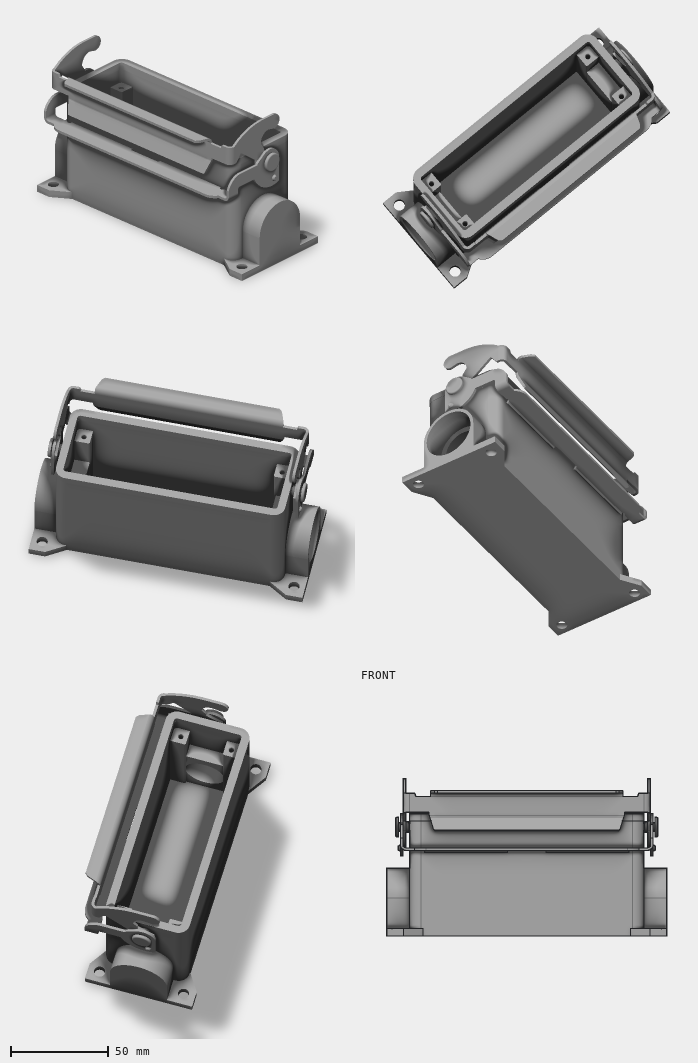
import cadquery as cq
import math

overall_length = 144.0
base_width = 57.3
base_thickness = 3.9
wall_length = 120.2
wall_width = 44.4
wall_corner_radius = 5.8
housing_height = 63.0
cavity_length = 112.9
cavity_width = 36.3
cavity_corner_radius = 2.0
rim_bottom = 59.0
rim_step = 0.1
rim_opening_corner_radius = 1.5
floor_thickness = base_thickness

ear_flat = 8.6
ear_foot_x = 53.3
ear_hole_x = 66.2
ear_hole_y = 22.5
ear_hole_diameter = 5.8

boss_radius = 15.3
boss_axis_z = 19.6
bore_radius = 13.5
passage_radius = 10.5
bore_depth = 13.5

post_length = 8.0
post_width = 8.2
post_height = 51.3
post_corner_radius = 0.9
screw_hole_x = 52.1
screw_hole_y = 13.5
screw_hole_radius = 1.3
screw_hole_depth = 14.4
screw_hole_chamfer = 0.3
pad_top = boss_axis_z + boss_radius
bored_pad_thickness = 6.9

sheet = 1.5
hook_plate_outer_x = 63.5
arm_plate_outer_x = hook_plate_outer_x + sheet
pivot_z = 56.0

cam_back_y = 5.8
cam_shoulder_z = 57.6
cam_bottom = 45.5
cam_front_y = -8.5
cam_front_top = 59.0
cam_front_bottom = 54.3
neck_back_y = -3.0
neck_bottom = 62.8
throat_y = -5.3
throat_bottom = 67.7
throat_top = 73.7
hook_top = 81.0
hook_tip_y = 8.8
hook_tip_center_y = 4.5
hook_tip_bottom = 72.7
crown_end_y = -25.3
crown_middle = (-15.8, 78.8)
throat_middle = (-4.3, 71.1)
throat_end = (0.1, throat_top)
barb_middle = (2.3, 73.3)
cam_middle = (-6.0, 48.1)
hook_root_y = -23.8
neck_rise = 1.6
gusset_y = -20.2
gusset_z = 67.8
gusset_flat = 0.6

arm_head_radius = 6.9
arm_start_y = -9.5
arm_top = 57.3
arm_underside = 50.0
arm_turn_y = -22.2
arm_turn_bottom = 50.4
arm_foot_y = -23.9
arm_foot_chamfer = 0.6
arm_belly_front_y = -11.7
arm_belly_back_z = 42.2
arm_belly_middle = (-3.5, 42.0)
arm_turn_middle = (-27.8, 55.2)
arm_shoulder_middle = (-1.7, 62.6)
arm_shoulder_end = (-3.7, 61.9)
arm_slope_end = (-9.0, 58.2)

pin_end_radius = 1.9
pin_shoulder_radius = 2.7
pin_shoulder_gap = 0.3
pin_neck_radius = 2.3
pin_head_radius = 5.0
pin_head_inner_x = 65.8
pin_head_outer_x = 67.4
pin_head_fillet = 0.7

stud_y = 3.2
stud_z = 45.2
stud_radius = 1.7
stud_tip_radius = 1.0
stud_length = 1.2

grip_face_y = -28.4
grip_back_y = grip_face_y + sheet
grip_bottom = 63.5
grip_top = 73.5
grip_bend_radius = 3.2
grip_notch_floor = 71.7
grip_notch_half = 56.9
grip_notch_slope = 0.7

top_lip_front_y = -35.9
top_lip_top = grip_top + sheet
top_lip_bend_y = -29.5
top_lip_back_half = 49.5
top_lip_front_half = 47.4
top_lip_corner = 1.5
top_lip_bend_front = (-28.8, 73.0)
top_lip_bend_back = (-27.8, 73.9)

skirt_bend_z = 61.2
skirt_bend_drop = 0.9
skirt_bend_run = 0.3
skirt_bend_middle = (-28.5, 61.5)
skirt_side_bottom = 62.4
skirt_tip_z = 54.5
skirt_tip_y = -31.4
skirt_tip_thickness_y = 1.3
skirt_tip_thickness_z = 0.6
skirt_top_half = 50.3
skirt_bottom_half = 48.0
skirt_corner = 1.0

rail_top = 45.4
rail_bottom = rail_top - sheet
rail_front_y = -34.4
rail_back_y = -24.0
rail_side_y = -31.0
rail_bend_radius = 3.0
rail_slot_y = -24.9
rail_slot_half = 9.8
rail_slot_chamfer = 0.6
rail_lip_end = 52.4
rail_lip_tip_y = -22.5
rail_lip_bottom = 42.9
rail_lip_run = 0.6
rail_lip_tip_rise = 0.7
rail_front_half = 51.8
rail_flare_half = 57.7
rail_flare_middle = (55.2, -33.4)
rail_relief_end = 55.2


def cylinder_x(radius, start_x, end_x, y, z):
    """Cylinder along X between two places."""
    return (
        cq.Workplane("YZ", origin=(start_x, 0, 0))
        .center(y, z)
        .circle(radius)
        .extrude(end_x - start_x)
    )


def rounded_block(length, width, corner_radius, bottom, top):
    """Upright block with rounded corners, centred on Z."""
    return (
        cq.Workplane("XY", origin=(0, 0, bottom))
        .rect(length, width)
        .extrude(top - bottom)
        .edges("|Z")
        .fillet(corner_radius)
    )


def base_plate():
    half_length = overall_length / 2
    half_width = base_width / 2
    wall_y = wall_width / 2
    ear_edge = half_length - ear_flat
    plate = (
        cq.Workplane("XY")
        .moveTo(0, wall_y)
        .lineTo(ear_foot_x, wall_y)
        .lineTo(ear_edge, half_width)
        .lineTo(half_length, half_width)
        .lineTo(half_length, 0)
        .lineTo(0, 0)
        .close()
        .extrude(base_thickness)
    )
    plate = plate.union(plate.mirror("XZ"))
    plate = plate.union(plate.mirror("YZ"))
    holes = (
        cq.Workplane("XY")
        .rect(2 * ear_hole_x, 2 * ear_hole_y, forConstruction=True)
        .vertices()
        .circle(ear_hole_diameter / 2)
        .extrude(base_thickness)
    )
    return plate.cut(holes)


def cable_bosses():
    """Round-topped block running the whole length; the walls hide its middle."""
    return (
        cq.Workplane("YZ")
        .moveTo(-boss_radius, 0)
        .lineTo(-boss_radius, boss_axis_z)
        .threePointArc((0, boss_axis_z + boss_radius), (boss_radius, boss_axis_z))
        .lineTo(boss_radius, 0)
        .close()
        .extrude(overall_length / 2, both=True)
    )


def corner_post(side_x, side_y):
    center_x = side_x * (cavity_length - post_length) / 2
    center_y = side_y * (cavity_width - post_width) / 2
    inner_edge = cq.selectors.NearestToPointSelector(
        (center_x - side_x * post_length / 2, center_y - side_y * post_width / 2, post_height / 2)
    )
    post = (
        cq.Workplane("XY")
        .box(post_length, post_width, post_height, centered=(True, True, False))
        .translate((center_x, center_y, 0))
        .edges(inner_edge)
        .fillet(post_corner_radius)
    )
    hole_x = side_x * screw_hole_x
    hole_y = side_y * screw_hole_y
    hole = (
        cq.Workplane("XY", origin=(hole_x, hole_y, post_height))
        .circle(screw_hole_radius)
        .extrude(-screw_hole_depth)
    )
    mouth = (
        cq.Workplane("XY", origin=(hole_x, hole_y, post_height - screw_hole_chamfer))
        .circle(screw_hole_radius)
        .workplane(offset=screw_hole_chamfer)
        .circle(screw_hole_radius + screw_hole_chamfer)
        .loft()
    )
    return post.cut(hole).cut(mouth)


def end_pad(side, thickness):
    center_x = side * (cavity_length - thickness) / 2
    return (
        cq.Workplane("XY")
        .box(thickness, cavity_width - 2 * post_width, pad_top, centered=(True, True, False))
        .translate((center_x, 0, 0))
    )


def make_housing():
    walls = rounded_block(wall_length, wall_width, wall_corner_radius, 0, rim_bottom)
    rim = rounded_block(
        wall_length + 2 * rim_step,
        wall_width + 2 * rim_step,
        wall_corner_radius + rim_step,
        rim_bottom,
        housing_height,
    )
    cavity = rounded_block(
        cavity_length, cavity_width, cavity_corner_radius, floor_thickness, rim_bottom
    )
    rim_opening = rounded_block(
        cavity_length - 2 * rim_step,
        cavity_width - 2 * rim_step,
        rim_opening_corner_radius,
        rim_bottom,
        housing_height,
    )
    body = base_plate().union(cable_bosses()).union(walls).union(rim)
    body = body.cut(cavity).cut(rim_opening)

    for side_x in (-1, 1):
        for side_y in (-1, 1):
            body = body.union(corner_post(side_x, side_y))
    body = body.union(end_pad(-1, bored_pad_thickness))
    body = body.union(end_pad(1, post_length))

    end_x = -overall_length / 2
    body = body.cut(cylinder_x(bore_radius, end_x, end_x + bore_depth, 0, boss_axis_z))
    passage_end = -cavity_length / 2 + bored_pad_thickness
    body = body.cut(cylinder_x(passage_radius, end_x, passage_end, 0, boss_axis_z))

    pin_holes = cylinder_x(pin_end_radius, -wall_length / 2, -cavity_length / 2, 0, pivot_z)
    return body.cut(pin_holes).cut(pin_holes.mirror("YZ"))


def hook_profile():
    """Side outline of a hook plate, from the cam end up to the hook and the grip strip."""
    return (
        cq.Workplane("YZ")
        .moveTo(cam_back_y, cam_shoulder_z)
        .lineTo(neck_back_y, neck_bottom)
        .lineTo(neck_back_y, neck_bottom + neck_rise)
        .lineTo(throat_y, throat_bottom)
        .threePointArc(throat_middle, throat_end)
        .threePointArc(barb_middle, (hook_tip_center_y, hook_tip_bottom))
        .threePointArc((hook_tip_y, (hook_top + hook_tip_bottom) / 2), (hook_tip_center_y, hook_top))
        .lineTo(throat_y, hook_top)
        .threePointArc(crown_middle, (crown_end_y, grip_top))
        .lineTo(grip_face_y, grip_top)
        .lineTo(grip_face_y, grip_bottom)
        .lineTo(hook_root_y, grip_bottom)
        .lineTo(gusset_y - gusset_flat / 2, gusset_z)
        .lineTo(gusset_y + gusset_flat / 2, gusset_z)
        .lineTo(cam_front_y, cam_front_top)
        .lineTo(cam_front_y, cam_front_bottom)
        .threePointArc(cam_middle, (0, cam_bottom))
        .lineTo(cam_back_y, cam_bottom)
        .close()
    )


def hook_plates_and_grip():
    """U-shaped strip seen from above, trimmed to the hook outline."""
    strip_length = 86.4
    outer_half = hook_plate_outer_x
    inner_half = outer_half - sheet
    strip_end = strip_length / 2 + grip_face_y
    outer = (
        cq.Workplane("XY")
        .rect(2 * outer_half, strip_length)
        .extrude(2 * grip_top)
        .edges("|Z")
        .fillet(grip_bend_radius)
        .translate((0, strip_end, 0))
    )
    inner = (
        cq.Workplane("XY")
        .rect(2 * inner_half, strip_length - 2 * sheet)
        .extrude(2 * grip_top)
        .edges("|Z")
        .fillet(grip_bend_radius - sheet)
        .translate((0, strip_end, 0))
    )
    outline = hook_profile().extrude(outer_half, both=True)
    strip = outer.cut(inner).intersect(outline)
    notch = (
        cq.Workplane("XZ", origin=(0, grip_back_y, 0))
        .moveTo(-grip_notch_half, grip_notch_floor)
        .lineTo(grip_notch_half, grip_notch_floor)
        .lineTo(grip_notch_half + grip_notch_slope, grip_top)
        .lineTo(-grip_notch_half - grip_notch_slope, grip_top)
        .close()
        .extrude(sheet)
    )
    return strip.cut(notch)


def top_lip():
    """Strip bent forward from the top of the grip."""
    lip = (
        cq.Workplane("YZ")
        .moveTo(grip_face_y, grip_notch_floor)
        .threePointArc(top_lip_bend_front, (top_lip_bend_y, grip_top))
        .lineTo(top_lip_front_y, grip_top)
        .lineTo(top_lip_front_y, top_lip_top)
        .lineTo(top_lip_bend_y, top_lip_top)
        .threePointArc(top_lip_bend_back, (grip_back_y, grip_notch_floor))
        .close()
        .extrude(top_lip_back_half, both=True)
    )
    outline = (
        cq.Workplane("XY", origin=(0, 0, grip_bottom))
        .moveTo(top_lip_back_half, grip_back_y)
        .lineTo(top_lip_back_half, grip_face_y)
        .lineTo(top_lip_front_half, top_lip_front_y + top_lip_corner)
        .lineTo(top_lip_front_half - top_lip_corner, top_lip_front_y)
        .lineTo(0, top_lip_front_y)
        .lineTo(0, grip_back_y)
        .close()
        .extrude(top_lip_top - grip_bottom)
    )
    return lip.intersect(outline.union(outline.mirror("YZ")))


def grip_skirt():
    """Strip sloping down and forward from the bottom of the grip."""
    skirt = (
        cq.Workplane("YZ")
        .moveTo(grip_back_y, grip_bottom)
        .lineTo(grip_face_y, grip_bottom)
        .lineTo(grip_face_y, skirt_bend_z + skirt_bend_drop)
        .threePointArc(skirt_bend_middle, (grip_face_y - skirt_bend_run, skirt_bend_z))
        .lineTo(skirt_tip_y, skirt_tip_z)
        .lineTo(skirt_tip_y + skirt_tip_thickness_y, skirt_tip_z - skirt_tip_thickness_z)
        .lineTo(grip_back_y, skirt_bend_z - skirt_bend_run)
        .close()
        .extrude(skirt_top_half, both=True)
    )
    bottom = skirt_tip_z - skirt_tip_thickness_z
    outline = (
        cq.Workplane("XZ")
        .moveTo(-skirt_top_half, grip_bottom)
        .lineTo(skirt_top_half, grip_bottom)
        .lineTo(skirt_top_half, skirt_side_bottom)
        .lineTo(skirt_bottom_half, bottom + skirt_corner)
        .lineTo(skirt_bottom_half - skirt_corner, bottom)
        .lineTo(-skirt_bottom_half + skirt_corner, bottom)
        .lineTo(-skirt_bottom_half, bottom + skirt_corner)
        .lineTo(-skirt_top_half, skirt_side_bottom)
        .close()
        .extrude(-skirt_tip_y + sheet)
    )
    return skirt.intersect(outline)


def arm_profile():
    """Side outline of an arm plate: round head at the pivot, curved arm down to the rail."""
    head_diagonal = arm_head_radius * math.sqrt(0.5)
    return (
        cq.Workplane("YZ")
        .moveTo(arm_head_radius, pivot_z)
        .threePointArc((head_diagonal, pivot_z + head_diagonal), (0, pivot_z + arm_head_radius))
        .threePointArc(arm_shoulder_middle, arm_shoulder_end)
        .lineTo(*arm_slope_end)
        .lineTo(arm_start_y, arm_top)
        .lineTo(arm_turn_y, arm_top)
        .threePointArc(arm_turn_middle, (rail_side_y, arm_turn_bottom))
        .lineTo(rail_side_y, rail_bottom)
        .lineTo(arm_foot_y, rail_bottom)
        .lineTo(arm_foot_y, arm_underside - arm_foot_chamfer)
        .lineTo(arm_foot_y + arm_foot_chamfer, arm_underside)
        .lineTo(arm_belly_front_y, arm_underside)
        .threePointArc(arm_belly_middle, (arm_head_radius, arm_belly_back_z))
        .close()
    )


def arms_and_bends():
    """Two arm plates, each curving into the level of the rail at its front end."""
    bend_center_x = arm_plate_outer_x - rail_bend_radius
    bend_z = rail_bottom + rail_bend_radius
    inner_radius = rail_bend_radius - sheet
    leg_width = arm_foot_y - rail_side_y
    bend_box = (
        cq.Workplane("XY")
        .box(rail_bend_radius, leg_width, rail_bend_radius, centered=False)
        .translate((bend_center_x, rail_side_y, rail_bottom))
    )
    bend_ring = (
        cq.Workplane("XZ", origin=(bend_center_x, arm_foot_y, bend_z))
        .circle(rail_bend_radius)
        .circle(inner_radius)
        .extrude(leg_width)
    )
    plate = arm_profile().extrude(sheet).translate((hook_plate_outer_x, 0, 0))
    arm = plate.cut(bend_box).union(bend_ring.intersect(bend_box))
    return arm.union(arm.mirror("YZ"))


def rail_half():
    """Right half of the flat rail, with its slot, relief notch and back lip."""
    end_x = arm_plate_outer_x - rail_bend_radius
    plate = (
        cq.Workplane("XY", origin=(0, 0, rail_bottom))
        .moveTo(0, rail_slot_y)
        .lineTo(rail_slot_half - rail_slot_chamfer, rail_slot_y)
        .lineTo(rail_slot_half, rail_slot_y + rail_slot_chamfer)
        .lineTo(rail_slot_half, rail_back_y)
        .lineTo(rail_lip_end, rail_back_y)
        .lineTo(rail_lip_end, rail_slot_y + rail_slot_chamfer)
        .lineTo(rail_lip_end + rail_slot_chamfer, rail_slot_y)
        .lineTo(rail_relief_end - 2 * rail_slot_chamfer, rail_slot_y)
        .lineTo(rail_relief_end, rail_back_y)
        .lineTo(end_x, rail_back_y)
        .lineTo(end_x, rail_side_y)
        .lineTo(rail_flare_half, rail_side_y)
        .threePointArc(rail_flare_middle, (rail_front_half, rail_front_y))
        .lineTo(0, rail_front_y)
        .close()
        .extrude(sheet)
    )
    lip = (
        cq.Workplane("YZ", origin=(rail_slot_half, 0, 0))
        .moveTo(rail_back_y, rail_top)
        .lineTo(rail_back_y + rail_lip_run, rail_top)
        .lineTo(rail_lip_tip_y, rail_lip_bottom + rail_lip_tip_rise)
        .lineTo(rail_back_y + rail_lip_run, rail_lip_bottom)
        .lineTo(rail_back_y, rail_bottom)
        .close()
        .extrude(rail_lip_end - rail_slot_half)
    )
    return plate.union(lip)


def pivot_pin():
    """Right pivot pin: end in the wall, shoulder, neck and rounded head."""
    wall_x = wall_length / 2
    shoulder_x = wall_x + rim_step + pin_shoulder_gap
    end = cylinder_x(pin_end_radius, cavity_length / 2, shoulder_x, 0, pivot_z)
    shoulder = cylinder_x(pin_shoulder_radius, shoulder_x, hook_plate_outer_x, 0, pivot_z)
    neck = cylinder_x(pin_neck_radius, hook_plate_outer_x, pin_head_outer_x, 0, pivot_z)
    head = cylinder_x(pin_head_radius, pin_head_inner_x, pin_head_outer_x, 0, pivot_z)
    head = head.faces(">X").edges().fillet(pin_head_fillet)
    return end.union(shoulder).union(neck).union(head)


def stop_stud():
    """Small tapered stud on the outside of the right arm plate."""
    return (
        cq.Workplane("YZ", origin=(arm_plate_outer_x, 0, 0))
        .center(stud_y, stud_z)
        .circle(stud_radius)
        .workplane(offset=stud_length)
        .circle(stud_tip_radius)
        .loft()
    )


def make_lever():
    lever = hook_plates_and_grip().union(top_lip()).union(grip_skirt()).union(arms_and_bends())
    for right_feature in (rail_half(), pivot_pin(), stop_stud()):
        lever = lever.union(right_feature).union(right_feature.mirror("YZ"))
    return lever


housing = make_housing()
lever = make_lever()
result = cq.Compound.makeCompound([housing.solids().val(), lever.solids().val()])